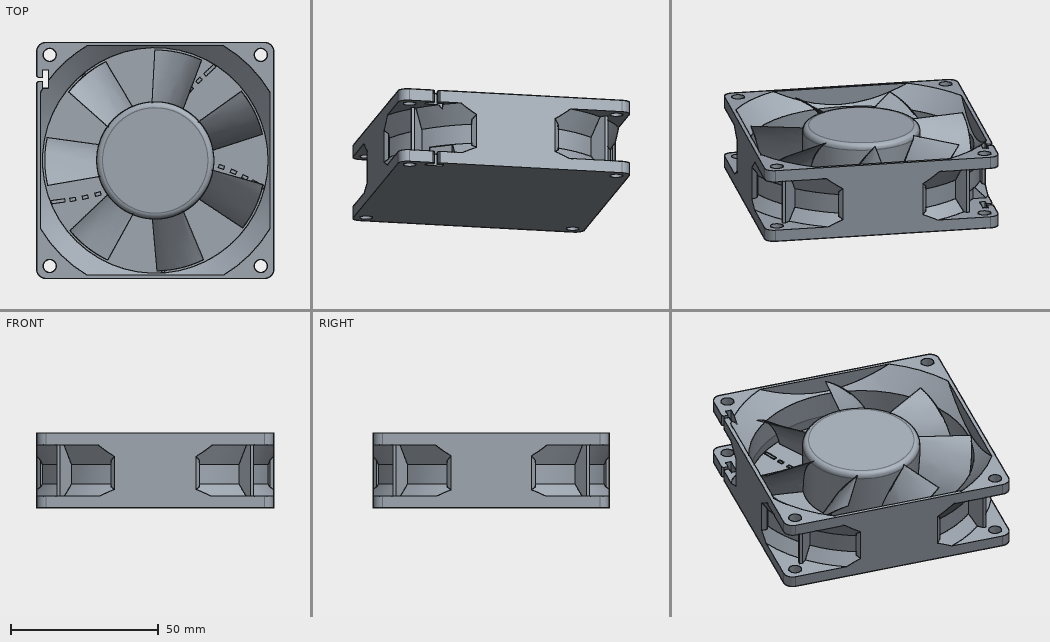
import cadquery as cq
import math

length = 80.4
width = 80.0
height = 25.4
corner_radius = 3.2
flange = 4.0
corner_angles = (45, 135, 225, 315)
hole_spacing = 71.5
hole_diameter = 4.35

throat_radius = 38.2
mouth_radius = 45.2
mouth_half_side = 38.8
throat_top = 18.65
throat_bottom = 9.65
floor_radius = 38.6
floor_top = 5.8

duct_radius = 40.85
duct_top = 14.7
duct_bottom = 8.0
upper_flare_radius = 44.5
lower_flare_radius = 44.2
pocket_half_width = 16.8
pocket_lip_distance = 38.0
web_thickness = 1.45
web_tip_half_side = 33.3
cable_web_shift = (2.3, 0.8)

slot_outer = -38.1
slot_inner = -36.2
slot_low = 24.5
slot_high = 30.55
neck_centre = 27.4
neck_width = 1.3
neck_mouth_width = 2.4
neck_chamfer = (neck_mouth_width - neck_width) / 2
cable_corner_angle = corner_angles[1]
flat_angle = 143.5
flat_distance = 40.2
flat_low = 20.8
flat_high = 27.6

strut_count = 5
strut_rise = 0.25
strut_lean = -15
bump_length = 1.9
bump_width = 1.1
outer_bump_length = 4.7
bump_places = [(22.5, -5.6), (26.8, -8.3), (30.9, -10.7)]
outer_bump_place = (35.7, -13.2)

hub_radius = 19.85
hub_fillet = 2.0
blade_count = 7
blade_top = 24.5
blade_tip_radius = 37.4
first_blade_angle = 77.3
blade_root_distance = 16.1
blade_end_distance = 40.2
lead_offset = 2.2
lead_spread = 0.17
trail_offset = -2.7
trail_spread = -0.14
blade_foot = 1.6
bulge_start = 1.0
bulge_spread = 0.042
blade_thickness = 0.5


def cylinder(radius, bottom, top):
    return cq.Workplane("XY").workplane(offset=bottom).circle(radius).extrude(top - bottom)


def cone(bottom_radius, bottom, top_radius, top):
    return cq.Workplane(cq.Solid.makeCone(
        bottom_radius, top_radius, top - bottom, pnt=cq.Vector(0, 0, bottom)))


def box(x_size, y_size, bottom, top):
    return cq.Workplane("XY").workplane(offset=bottom).rect(x_size, y_size).extrude(top - bottom)


def make_block():
    block = box(length, width, 0, height).edges("|Z").fillet(corner_radius)
    return (
        block.faces(">Z").workplane()
        .rect(hole_spacing, hole_spacing, forConstruction=True)
        .vertices().hole(hole_diameter)
    )


def make_duct():
    """Outer shape of the air duct between the two flanges."""
    pocket_top = height - flange
    duct = cylinder(duct_radius, duct_bottom, duct_top)
    duct = duct.union(cone(duct_radius, duct_top, upper_flare_radius, pocket_top))
    return duct.union(cone(lower_flare_radius, flange, duct_radius, duct_bottom))


def make_corner_pocket():
    """Space cut from a corner that points along +X, before turning it to a diagonal."""
    pocket_top = height - flange
    reach = length
    recess = box(reach, 2 * pocket_half_width, flange, pocket_top).translate((reach / 2, 0, 0))
    corner = box(reach, reach, flange, pocket_top).translate((pocket_lip_distance + reach / 2, 0, 0))
    return recess.union(corner)


def make_webs():
    """Thin diagonal ribs from the duct towards the corners, each ending in a square tip.

    The rib at the cable corner stands aside to leave room for the cable slot.
    """
    side = 2 * web_tip_half_side
    reach = math.hypot(side, side) / 2
    rib = box(reach - throat_radius, web_thickness, flange, height - flange)
    rib = rib.translate(((reach + throat_radius) / 2, 0, 0))
    tip_limit = box(side, side, flange, height - flange)
    webs = []
    for angle in corner_angles:
        web = rib.rotate((0, 0, 0), (0, 0, 1), angle).intersect(tip_limit)
        if angle == cable_corner_angle:
            web = web.translate((*cable_web_shift, 0))
        webs.append(web)
    return webs


def make_mouth():
    """Air passage: square-sided conical mouth, round throat and slight flare down to the floor."""
    mouth = cone(throat_radius, throat_top, mouth_radius, height)
    mouth = mouth.intersect(box(2 * mouth_half_side, 2 * mouth_half_side, 0, height))
    mouth = mouth.union(cylinder(throat_radius, throat_bottom, throat_top))
    return mouth.union(cone(floor_radius, floor_top, throat_radius, throat_bottom))


def make_cable_slot():
    edge = -length / 2
    half_neck = neck_width / 2
    half_mouth = neck_mouth_width / 2
    slot = (
        cq.Workplane("XY")
        .moveTo((slot_outer + slot_inner) / 2, (slot_low + slot_high) / 2)
        .rect(slot_inner - slot_outer, slot_high - slot_low).extrude(height)
    )
    neck = (
        cq.Workplane("XY")
        .polyline([
            (edge, neck_centre - half_mouth),
            (edge + neck_chamfer, neck_centre - half_neck),
            (slot_outer, neck_centre - half_neck),
            (slot_outer, neck_centre + half_neck),
            (edge + neck_chamfer, neck_centre + half_neck),
            (edge, neck_centre + half_mouth),
        ])
        .close().extrude(height)
    )
    return slot.union(neck)


def make_cable_flat():
    """Flat cut in the lower flare of the duct, beside the cable slot."""
    depth = mouth_radius - flat_distance
    flat = box(depth, length, flange, duct_bottom)
    flat = flat.translate((flat_distance + depth / 2, 0, 0))
    flat = flat.rotate((0, 0, 0), (0, 0, 1), flat_angle)
    band = box(length, flat_high - flat_low, flange, duct_bottom)
    return flat.intersect(band.translate((0, (flat_high + flat_low) / 2, 0)))


def make_cable_gap():
    """Lower flare removed down to the round duct, between the flat and the cable rib."""
    rib_line = sum(cable_web_shift)
    edge = -length / 2
    region = (
        cq.Workplane("XY").workplane(offset=flange)
        .polyline([(rib_line - flat_high, flat_high), (edge, rib_line - edge), (edge, flat_high)])
        .close().extrude(duct_bottom - flange)
    )
    return region.cut(cylinder(duct_radius, 0, height))


def make_bump(radius, angle, bump_size):
    bump = box(bump_size, bump_width, floor_top, floor_top + strut_rise)
    a = math.radians(angle)
    bump = bump.rotate((0, 0, 0), (0, 0, 1), angle + strut_lean)
    return bump.translate((radius * math.cos(a), radius * math.sin(a), 0))


def make_frame():
    frame = make_block()
    duct = make_duct()
    pocket = make_corner_pocket().cut(duct)
    for angle in corner_angles:
        frame = frame.cut(pocket.rotate((0, 0, 0), (0, 0, 1), angle))
    frame = frame.cut(make_cable_flat()).cut(make_cable_gap())
    for web in make_webs():
        frame = frame.union(web)
    frame = frame.cut(make_mouth()).cut(make_cable_slot())
    for strut in range(strut_count):
        turn = strut * 360 / strut_count
        for radius, angle in bump_places:
            frame = frame.union(make_bump(radius, angle + turn, bump_length))
        radius, angle = outer_bump_place
        frame = frame.union(make_bump(radius, angle + turn, outer_bump_length))
    return frame


def blade_section(distance):
    """Curved section, sharp at the leading edge and blunt at the foot, at a distance from the axis."""
    lead = lead_offset + lead_spread * distance
    trail = trail_offset + trail_spread * distance
    rise = blade_top - floor_top
    chord = math.hypot(lead - trail, rise)

    def bulged_middle(bulge):
        return (
            (lead + trail) / 2 - bulge * rise / chord,
            (blade_top + floor_top) / 2 + bulge * (lead - trail) / chord,
        )

    bulge = bulge_start + bulge_spread * distance
    return (
        cq.Workplane("YZ").workplane(offset=distance)
        .moveTo(lead, blade_top)
        .threePointArc(bulged_middle(bulge), (trail, floor_top))
        .lineTo(trail + blade_foot, floor_top)
        .threePointArc(bulged_middle(bulge - blade_thickness), (lead, blade_top))
        .close().wire().val()
    )


def make_blade():
    wires = [blade_section(blade_root_distance), blade_section(blade_end_distance)]
    blade = cq.Workplane(cq.Solid.makeLoft(wires, True))
    return blade.intersect(cylinder(blade_tip_radius, 0, height))


def make_rotor():
    rotor = cylinder(hub_radius, floor_top, height).faces(">Z").edges().fillet(hub_fillet)
    blade = make_blade()
    for number in range(blade_count):
        turn = first_blade_angle + number * 360 / blade_count
        rotor = rotor.union(blade.rotate((0, 0, 0), (0, 0, 1), turn))
    return rotor


rotor = make_rotor()
frame = make_frame().cut(rotor)
result = cq.Compound.makeCompound([frame.val(), rotor.val()])